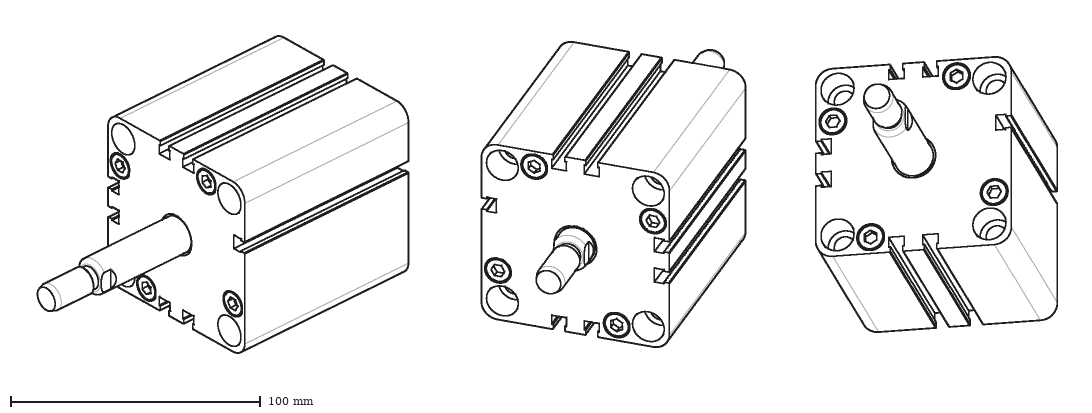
import cadquery as cq
import math


HOUSING_SIDE = 80.0
HOUSING_LENGTH = 90.0
HOUSING_CORNER_RADIUS = 7.0

GROOVE_OFFSET = 7.0
SINGLE_GROOVE_OFFSET = 12.0
GROOVE_MOUTH_WIDTH = 5.0
GROOVE_MOUTH_CHAMFER = 0.29
GROOVE_LIP_DEPTH = 2.3
GROOVE_INNER_WIDTH = 6.4
GROOVE_DEPTH = 6.4

MOUNT_OFFSET = 31.0
MOUNT_DIAMETER = 8.5
COUNTERBORE_DIAMETER = 13.5
COUNTERBORE_DEPTH = 14.0

SCREW_SHORT_OFFSET = 17.5
SCREW_LONG_OFFSET = 33.0
SCREW_POCKET_DIAMETER = 11.2
SCREW_HEAD_DIAMETER = 10.0
SCREW_GAP_DEPTH = 0.5
HEX_ACROSS_FLATS = 5.0
HEX_DEPTH = 3.0

ROD_LENGTH = 193.0
ROD_DIAMETER = 16.0
ROD_FRONT_REACH = 47.5
ROD_END_ROUNDING_LENGTH = 1.7
SEAL_DIAMETER = 18.0
SEAL_DEPTH = 0.5
NECK_DIAMETER = 10.0
NECK_LENGTH = 2.9
THREAD_DIAMETER = 12.0
THREAD_LENGTH = 21.0
THREAD_START_LENGTH = 0.5
TIP_DIAMETER = 10.5
TIP_LENGTH = 2.5

FLAT_WIDTH = 13.1
FLAT_LENGTH = 5.2
FLAT_RUNOUT_LENGTH = 1.7

STUD_LENGTH = NECK_LENGTH + THREAD_LENGTH
ROD_FRONT = -ROD_FRONT_REACH - STUD_LENGTH
ROD_CENTER = ROD_FRONT + ROD_LENGTH / 2
HOUSING_CENTER = HOUSING_LENGTH / 2


def turn_about_rod(shape, angle):
    return shape.rotate((0, 0, 0), (0, 1, 0), angle)


def at_both_ends(shape, center_y):
    """Join a shape with its mirror image across the plane Y = center_y."""
    return shape.union(shape.mirror("XZ", (0, center_y, 0)))


def cylinder(diameter, length, x=0, z=0):
    """Cylinder reaching from the housing's front face toward +Y."""
    return cq.Workplane("XZ").center(x, z).circle(diameter / 2).extrude(-length)


def groove(offset):
    """Cutter for one groove in the +Z side, narrowed by a lip with chamfered edges."""
    surface = HOUSING_SIDE / 2
    lip_end = surface - GROOVE_LIP_DEPTH
    mouth = GROOVE_MOUTH_WIDTH / 2
    wall = [
        (mouth + GROOVE_MOUTH_CHAMFER, surface),
        (mouth, surface - GROOVE_MOUTH_CHAMFER),
        (mouth, lip_end),
        (GROOVE_INNER_WIDTH / 2, lip_end),
        (GROOVE_INNER_WIDTH / 2, surface - GROOVE_DEPTH),
    ]
    right_wall = [(offset + x, z) for x, z in wall]
    left_wall = [(offset - x, z) for x, z in reversed(wall)]
    return cq.Workplane("XZ").polyline(right_wall + left_wall).close().extrude(-HOUSING_LENGTH)


def mounting_hole(x, z):
    through = cylinder(MOUNT_DIAMETER, HOUSING_LENGTH, x, z)
    counterbore = cylinder(COUNTERBORE_DIAMETER, COUNTERBORE_DEPTH, x, z)
    return through.union(at_both_ends(counterbore, HOUSING_CENTER))


def screw_recess():
    """Cutter for the gap around one screw head and its hex socket, centred on the rod axis."""
    gap = cylinder(SCREW_POCKET_DIAMETER, SCREW_GAP_DEPTH)
    gap = gap.cut(cylinder(SCREW_HEAD_DIAMETER, SCREW_GAP_DEPTH))
    hex_diameter = HEX_ACROSS_FLATS / math.cos(math.pi / 6)
    socket = cq.Workplane("XZ").polygon(6, hex_diameter).extrude(-HEX_DEPTH)
    return gap.union(turn_about_rod(socket, 30))


def make_housing():
    housing = cq.Workplane("XZ").rect(HOUSING_SIDE, HOUSING_SIDE).extrude(-HOUSING_LENGTH)
    housing = housing.edges("|Y").fillet(HOUSING_CORNER_RADIUS)

    for angle in (0, 180, 270):
        for offset in (-GROOVE_OFFSET, GROOVE_OFFSET):
            housing = housing.cut(turn_about_rod(groove(offset), angle))
    housing = housing.cut(turn_about_rod(groove(-SINGLE_GROOVE_OFFSET), 90))

    for x in (-MOUNT_OFFSET, MOUNT_OFFSET):
        for z in (-MOUNT_OFFSET, MOUNT_OFFSET):
            housing = housing.cut(mounting_hole(x, z))

    recess = screw_recess().translate((SCREW_SHORT_OFFSET, 0, SCREW_LONG_OFFSET))
    recess_pair = at_both_ends(recess, HOUSING_CENTER)
    for angle in (0, 90, 180, 270):
        housing = housing.cut(turn_about_rod(recess_pair, angle))

    seal_recess = cylinder(SEAL_DIAMETER, SEAL_DEPTH)
    return housing.cut(at_both_ends(seal_recess, HOUSING_CENTER))


def wrench_flat():
    """Cutter for the +X flat at the rod's front shoulder, with a sloped run-out."""
    flat_x = FLAT_WIDTH / 2
    rod_x = ROD_DIAMETER / 2
    shoulder = -ROD_FRONT_REACH
    flat_end = shoulder + FLAT_LENGTH
    outline = [
        (flat_x, shoulder),
        (flat_x, flat_end),
        (rod_x, flat_end + FLAT_RUNOUT_LENGTH),
        (rod_x, shoulder),
    ]
    return cq.Workplane("XY").polyline(outline).close().extrude(ROD_DIAMETER / 2, both=True)


def make_rod():
    """Front half turned about Y, then mirrored to the back."""
    rod_radius = ROD_DIAMETER / 2
    neck_radius = NECK_DIAMETER / 2
    thread_radius = THREAD_DIAMETER / 2
    shoulder = -ROD_FRONT_REACH
    neck_front = shoulder - NECK_LENGTH
    rounding_end = shoulder + ROD_END_ROUNDING_LENGTH

    arc_width = rod_radius - thread_radius
    arc_radius = (arc_width**2 + ROD_END_ROUNDING_LENGTH**2) / (2 * ROD_END_ROUNDING_LENGTH)
    middle_angle = math.atan2(arc_width, arc_radius - ROD_END_ROUNDING_LENGTH) / 2
    arc_middle = (
        thread_radius + arc_radius * math.sin(middle_angle),
        shoulder + arc_radius * (1 - math.cos(middle_angle)),
    )

    half_profile = (
        cq.Workplane("XY")
        .moveTo(0, ROD_FRONT)
        .lineTo(TIP_DIAMETER / 2, ROD_FRONT)
        .lineTo(thread_radius, ROD_FRONT + TIP_LENGTH)
        .lineTo(thread_radius, neck_front - THREAD_START_LENGTH)
        .lineTo(neck_radius, neck_front)
        .lineTo(neck_radius, shoulder)
        .lineTo(thread_radius, shoulder)
        .threePointArc(arc_middle, (rod_radius, rounding_end))
        .lineTo(rod_radius, ROD_CENTER)
        .lineTo(0, ROD_CENTER)
        .close()
    )
    half_rod = half_profile.revolve(360, (0, 0, 0), (0, 1, 0))
    for angle in (0, 180):
        half_rod = half_rod.cut(turn_about_rod(wrench_flat(), angle))
    return at_both_ends(half_rod, ROD_CENTER)


result = make_housing().union(make_rod()).clean()